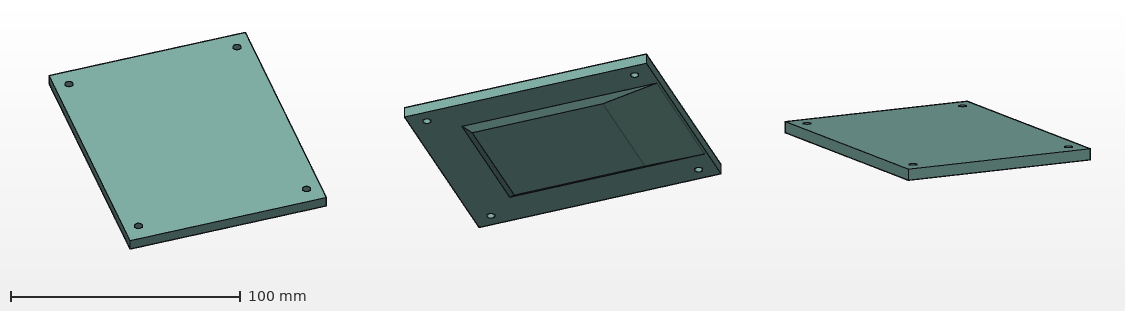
import cadquery as cq
import math

plate_length = 113.0
plate_width = 90.0
plate_thickness = 5.0

hole_diameter = 3.5
hole_inset_x = 8.0
hole_inset_y = 6.5

pad_height = 2.0
bevel_angle = 30.0
bevel_run = pad_height / math.tan(math.radians(bevel_angle))
pad_face_left = -32.25
pad_face_right = 28.75
ramp_run = 26.5
pad_face_width = 50.75
pad_center_y = -0.5


def trapezoid_prism(plane, face_start, face_end, start_run, end_run, half_depth):
    """Prism below Z = 0 whose flat lower face widens upward by the given runs."""
    return (
        cq.Workplane(plane)
        .moveTo(face_start - start_run, 0)
        .lineTo(face_start, -pad_height)
        .lineTo(face_end, -pad_height)
        .lineTo(face_end + end_run, 0)
        .close()
        .extrude(half_depth, both=True)
    )


def make_plate():
    return cq.Workplane("XY").box(
        plate_length, plate_width, plate_thickness, centered=(True, True, False)
    )


def make_pad():
    """Pad with sloped sides: the overlap of its lengthwise and crosswise profiles."""
    lengthwise = trapezoid_prism(
        "XZ", pad_face_left, pad_face_right, bevel_run, ramp_run, plate_width / 2
    )
    crosswise = trapezoid_prism(
        "YZ",
        pad_center_y - pad_face_width / 2,
        pad_center_y + pad_face_width / 2,
        bevel_run,
        bevel_run,
        plate_length / 2,
    )
    return lengthwise.intersect(crosswise)


def drill_corner_holes(body):
    return (
        body.faces(">Z")
        .workplane(origin=(0, 0, plate_thickness))
        .rarray(plate_length - 2 * hole_inset_x, plate_width - 2 * hole_inset_y, 2, 2)
        .hole(hole_diameter)
    )


result = drill_corner_holes(make_plate().union(make_pad()))